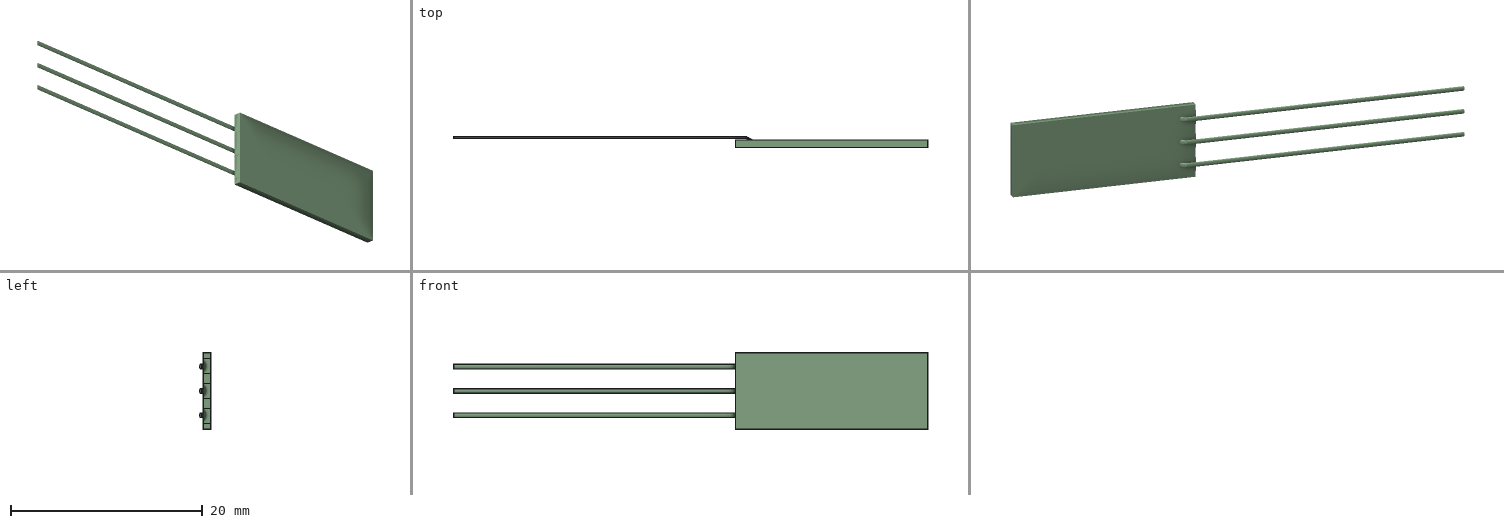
import cadquery as cq

total_length = 49.42
total_depth = 1.16

plate_length = 20.05
plate_thickness = 0.8
plate_height = 8.0
plate_back = plate_thickness / 2

pad_width = 1.55
pad_pitch = 2.6
pad_thickness = 0.02

lead_pitch = 2.54
lead_width = 0.5
lead_thickness = 0.2
lead_start = plate_length - total_length
lead_back = plate_back + total_depth - plate_thickness
lead_centre_y = lead_back - lead_thickness / 2

lead_bend_x = 1.1
lead_tip_x = 1.75
tip_centre_y = plate_back - lead_thickness / 2

ROWS = (-1, 0, 1)


def make_plate():
    """Rectangular plate."""
    plate = cq.Workplane("XY").box(plate_length, plate_thickness, plate_height)
    return plate.translate((plate_length / 2, 0, 0))


def make_pad(row):
    """Thin pad across the full thickness of the plate's lead end."""
    pad = cq.Workplane("XY").box(pad_thickness, plate_thickness, pad_width)
    return pad.translate((-pad_thickness / 2, 0, row * pad_pitch))


def lead_section(x, centre_y, row):
    """Oval cross-section of a lead, square to X."""
    section = cq.Workplane("YZ", origin=(x, centre_y, row * lead_pitch))
    return section.ellipse(lead_thickness / 2, lead_width / 2)


def make_lead(row):
    """Straight lead with a tip that slopes into the plate."""
    straight = lead_section(lead_start, lead_centre_y, row).extrude(lead_bend_x - lead_start)
    tip = (
        lead_section(lead_bend_x, lead_centre_y, row)
        .workplane(offset=lead_tip_x - lead_bend_x)
        .center(tip_centre_y - lead_centre_y, 0)
        .ellipse(lead_thickness / 2, lead_width / 2)
        .loft(ruled=True)
    )
    return straight.union(tip)


result = make_plate()
for row in ROWS:
    result = result.union(make_pad(row)).union(make_lead(row))